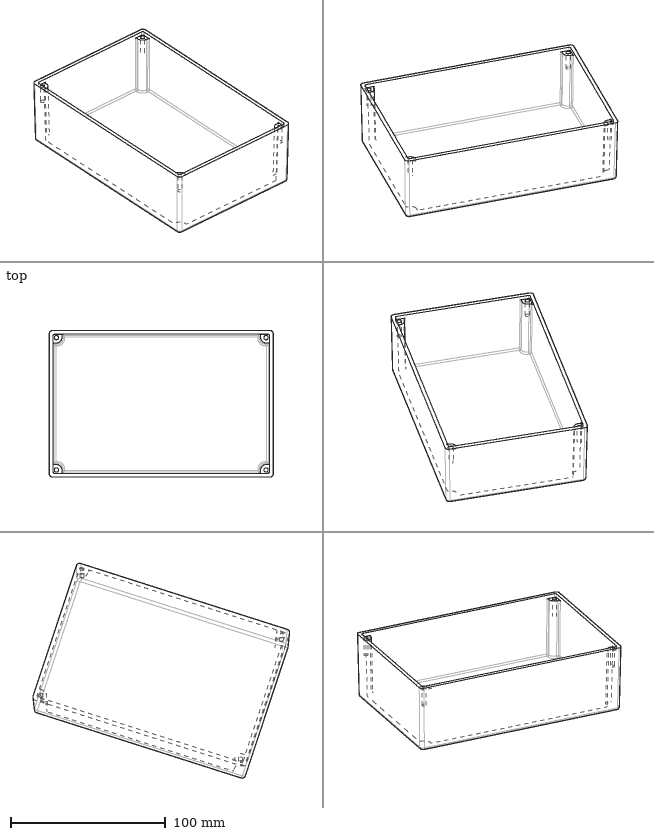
import cadquery as cq
import math

LENGTH = 145.0
WIDTH = 95.0
HEIGHT = 45.0

WALL = 2.5
FLOOR = 2.5
DRAFT = 1.0
OUTER_CORNER_RADIUS = 2.25
BOTTOM_EDGE_RADIUS = 2.0
INNER_CORNER_RADIUS = 1.0
FLOOR_FILLET_RADIUS = 1.1

POST_DROP = 2.5
POST_REACH = 8.25
POST_NOSE_RADIUS = 3.75
POST_FILLET_RADIUS = 0.75
SCREW_INSET = 4.7
SCREW_HOLE_DIAMETER = 2.8
SCREW_HOLE_DEPTH = 12.0
DRILL_POINT_ANGLE = 118.0

POST_TOP = HEIGHT - POST_DROP
DRAFT_SLOPE = math.tan(math.radians(DRAFT))
CORNERS = [(x_side, y_side) for x_side in (-1, 1) for y_side in (-1, 1)]


def tapered_block(length, width, top, bottom):
    """Rectangular block of the given size at the top, narrowing downwards by the draft."""
    return (
        cq.Workplane("XY", origin=(0, 0, top))
        .rect(length, width)
        .extrude(bottom - top, taper=DRAFT)
    )


def upright_edges(block):
    """The four slanted corner edges of a tapered block."""
    return block.edges("not(|X or |Y)")


def post_reach_at(height):
    """Distance from the outer rim faces to the post sides at a height; posts widen downwards."""
    return POST_REACH + (POST_TOP - height) * DRAFT_SLOPE


def cavity_inset_at(height):
    """Distance from the outer rim faces to the cavity walls at a height."""
    return WALL + (HEIGHT - height) * DRAFT_SLOPE


def make_outer_body():
    body = tapered_block(LENGTH, WIDTH, HEIGHT, 0)
    body = upright_edges(body).fillet(OUTER_CORNER_RADIUS)
    return body.faces("<Z").edges().fillet(BOTTOM_EDGE_RADIUS)


def make_post(x_side, y_side):
    """Square drafted post centred on a box corner, its upright edges rounded into noses."""
    base_side = 2 * post_reach_at(FLOOR)
    post = (
        cq.Workplane("XY", origin=(x_side * LENGTH / 2, y_side * WIDTH / 2, FLOOR))
        .rect(base_side, base_side)
        .extrude(POST_TOP - FLOOR, taper=DRAFT)
    )
    return upright_edges(post).fillet(POST_NOSE_RADIUS)


def make_cavity():
    """The open space inside the box: a drafted block less the posts, with rounded inner edges."""
    cavity = tapered_block(LENGTH - 2 * WALL, WIDTH - 2 * WALL, HEIGHT, FLOOR)
    cavity = upright_edges(cavity).fillet(INNER_CORNER_RADIUS)
    for x_side, y_side in CORNERS:
        cavity = cavity.cut(make_post(x_side, y_side))

    middle = (POST_TOP + FLOOR) / 2
    inset = cavity_inset_at(middle)
    reach = post_reach_at(middle)
    for x_side, y_side in CORNERS:
        for x_offset, y_offset in ((inset, reach), (reach, inset)):
            joint = (x_side * (LENGTH / 2 - x_offset), y_side * (WIDTH / 2 - y_offset), middle)
            joint_edge = cq.selectors.NearestToPointSelector(joint)
            cavity = cavity.edges(joint_edge).fillet(POST_FILLET_RADIUS)

    return cavity.faces("<Z").edges().fillet(FLOOR_FILLET_RADIUS)


def make_screw_hole(x_side, y_side):
    """Blind hole with a conical drill point, down from the post top."""
    radius = SCREW_HOLE_DIAMETER / 2
    point_depth = radius / math.tan(math.radians(DRILL_POINT_ANGLE / 2))
    x_axis = x_side * (LENGTH / 2 - SCREW_INSET)
    y_axis = y_side * (WIDTH / 2 - SCREW_INSET)
    profile = [
        (0, 0),
        (radius, 0),
        (radius, -SCREW_HOLE_DEPTH),
        (0, -SCREW_HOLE_DEPTH - point_depth),
    ]
    return (
        cq.Workplane("XZ")
        .polyline(profile)
        .close()
        .revolve(360, (0, 0, 0), (0, 1, 0))
        .translate((x_axis, y_axis, POST_TOP))
    )


result = make_outer_body().cut(make_cavity())
for x_side, y_side in CORNERS:
    result = result.cut(make_screw_hole(x_side, y_side))